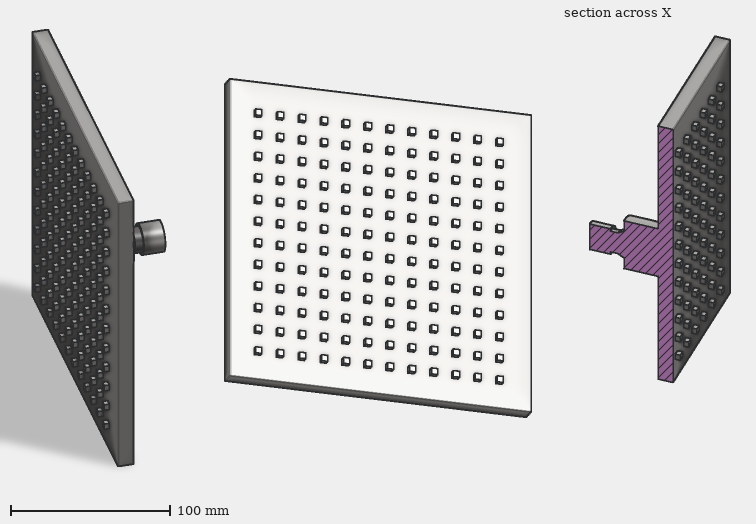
import cadquery as cq
import math

plate_side = 200.0
plate_thickness = 10.5
plate_edge_radius = 0.55

nozzle_count = 12
grid_span = 160.0
nozzle_pitch = grid_span / (nozzle_count - 1)
nozzle_side = 4.0
nozzle_length = 3.5
grid_offset_x = -1.8
grid_offset_z = -1.8

total_depth = 59.5
housing_radius = 19.0
housing_length = 22.8
ball_radius = 11.0
ball_exposed_length = 3.8
neck_radius = 8.5
neck_length = 5.2
inlet_radius = 10.2

housing_end = plate_thickness + housing_length
neck_start = housing_end + ball_exposed_length
neck_end = neck_start + neck_length
inlet_end = total_depth - nozzle_length
ball_center = neck_start - math.sqrt(ball_radius**2 - neck_radius**2)


def make_plate():
    plate = cq.Workplane("XY").box(plate_side, plate_thickness, plate_side)
    plate = plate.edges().fillet(plate_edge_radius)
    return plate.translate((0, plate_thickness / 2, 0))


def make_nozzles():
    return (
        cq.Workplane("XZ")
        .center(grid_offset_x, grid_offset_z)
        .rarray(nozzle_pitch, nozzle_pitch, nozzle_count, nozzle_count)
        .rect(nozzle_side, nozzle_side)
        .extrude(nozzle_length)
    )


def make_cylinder(radius, start, end):
    return cq.Workplane("XZ", origin=(0, start, 0)).circle(radius).extrude(start - end)


def make_connector():
    housing = make_cylinder(housing_radius, plate_thickness, housing_end)
    ball = cq.Workplane("XZ", origin=(0, ball_center, 0)).sphere(ball_radius)
    neck = make_cylinder(neck_radius, ball_center, neck_end)
    inlet = make_cylinder(inlet_radius, neck_end, inlet_end)
    return housing.union(ball).union(neck).union(inlet)


result = make_plate().union(make_nozzles()).union(make_connector())